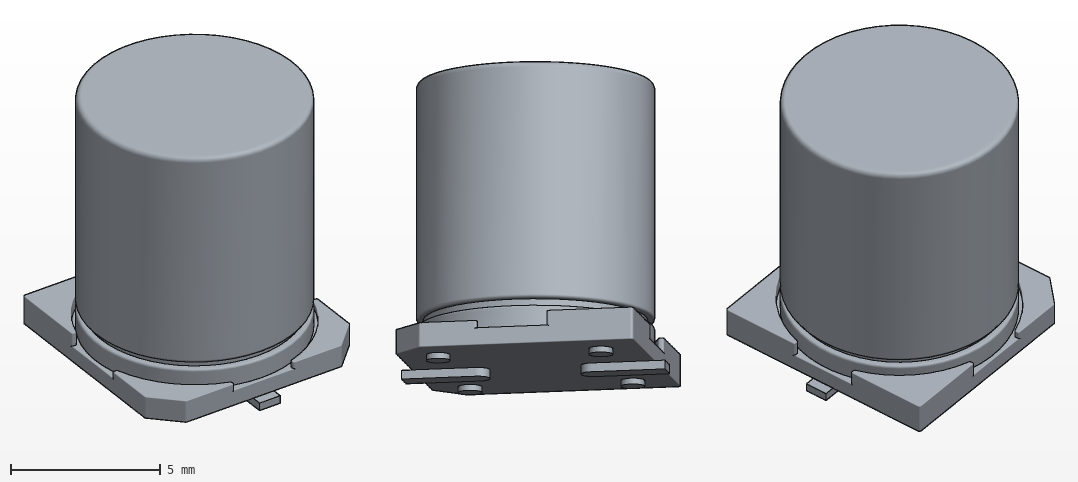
import cadquery as cq

total_height = 10
lead_span = 9

lead_width = 0.84
lead_thickness = 0.3
lead_end_center = 1.98
foot_diameter = 0.8
foot_height = 0.2
foot_offset = 2.78

base_side = 8.3
base_bottom = lead_thickness
floor_height = 0.9
tall_corner_height = 1.4
low_corner_height = 1.15
corner_chamfer = 1
notch_width = 2.4
seat_diameter = 8.28
corner_round = 0.1
notch_round = 0.07
edge_round = 0.03

can_diameter = 8
neck_diameter = 7.54
neck_bottom = 1.65
neck_top = 1.9
neck_lip_round = 0.1
can_top_round = 0.2


def make_cylinder(diameter, bottom, top):
    """Upright cylinder on the part's axis."""
    return cq.Workplane("XY").workplane(offset=bottom).circle(diameter / 2).extrude(top - bottom)


def make_base_block(bottom, top):
    """Square block with rounded corners, the two on the +X side chamfered first."""
    return (
        cq.Workplane("XY")
        .workplane(offset=bottom)
        .rect(base_side, base_side)
        .extrude(top - bottom)
        .edges("|Z and >X")
        .chamfer(corner_chamfer)
        .edges("|Z")
        .fillet(corner_round)
    )


def make_box(length, width, bottom, center_x=0):
    """Box used as a cutter, reaching up past the base."""
    return cq.Workplane("XY", origin=(center_x, 0, bottom)).rect(length, width).extrude(total_height)


def is_on_notch_wall(edge):
    """True for the upright edges at either end of a notch wall."""
    center = edge.Center()
    return min(abs(center.x), abs(center.y)) < notch_width / 2 + notch_round


def make_corners():
    """Raised corners around the can seat, lower on the +X side, rooted inside the floor plate."""
    root = (base_bottom + floor_height) / 2
    corners = make_base_block(root, tall_corner_height)
    corners = corners.cut(make_box(base_side, base_side, low_corner_height, center_x=base_side / 2))
    corners = corners.cut(make_cylinder(seat_diameter, root, tall_corner_height))
    corners = corners.cut(make_box(base_side, notch_width, root))
    corners = corners.cut(make_box(notch_width, base_side, root))
    corners = corners.edges("|Z").filter(is_on_notch_wall).fillet(notch_round)
    return corners.faces("+Z").edges().fillet(edge_round)


def make_base():
    """Floor plate with rounded edges, carrying the four raised corners."""
    plate = make_base_block(base_bottom, floor_height).faces("|Z").edges().fillet(edge_round)
    return plate.union(make_corners())


def make_can():
    """Round can with a rolled neck groove above the base."""
    lower = make_cylinder(can_diameter, floor_height, neck_bottom).edges(">Z").fillet(neck_lip_round)
    neck = make_cylinder(neck_diameter, neck_bottom, neck_top)
    upper = make_cylinder(can_diameter, neck_top, total_height)
    upper = upper.edges("<Z").fillet(neck_lip_round)
    upper = upper.edges(">Z").fillet(can_top_round)
    return lower.union(neck).union(upper)


def make_lead(side):
    """Flat lead that sticks out of the base, with a round inner end."""
    strip_length = lead_span / 2 - lead_end_center
    strip = (
        cq.Workplane("XY")
        .center(side * (lead_end_center + strip_length / 2), 0)
        .rect(strip_length, lead_width)
        .extrude(lead_thickness)
    )
    inner_end = cq.Workplane("XY").center(side * lead_end_center, 0)
    return strip.union(inner_end.circle(lead_width / 2).extrude(lead_thickness))


def make_feet():
    """Four round standoff feet under the base."""
    return (
        cq.Workplane("XY")
        .workplane(offset=base_bottom)
        .rect(2 * foot_offset, 2 * foot_offset, forConstruction=True)
        .vertices()
        .circle(foot_diameter / 2)
        .extrude(-foot_height)
    )


result = make_base().union(make_can()).union(make_feet())
for side in (-1, 1):
    result = result.union(make_lead(side))